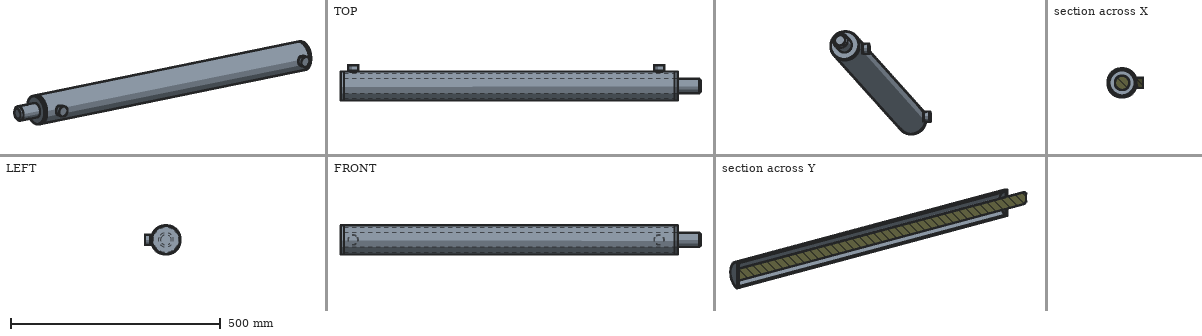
import cadquery as cq

barrel_outer_diameter = 70.0
barrel_bore_diameter = 60.0
body_length = 805.0
end_plate_thickness = 8.0
end_plate_chamfer = 1.5
rod_diameter = 35.0
rod_tip_chamfer = 5.0
overall_length = 860.0
port_diameter = 25.0
port_foot_chamfer = 1.5
port_face_offset = 50.0
port_neck_top_offset = 36.0
cap_port_position = 30.0
gland_port_position = 760.0

barrel_end = body_length - end_plate_thickness
barrel_length = barrel_end - end_plate_thickness
rod_length = overall_length - end_plate_thickness
port_neck_diameter = port_diameter - 2 * port_foot_chamfer


def axial_cylinder(diameter, start, length):
    """Solid round bar along X, beginning at X = start."""
    return cq.Workplane("YZ", origin=(start, 0, 0)).circle(diameter / 2).extrude(length)


def make_end_cap():
    """Disc closing the rear end of the barrel, chamfered around its outer face."""
    disc = axial_cylinder(barrel_outer_diameter, 0, end_plate_thickness)
    return disc.faces("<X").chamfer(end_plate_chamfer)


def make_barrel():
    """Open tube between the end cap and the gland."""
    tube = axial_cylinder(barrel_outer_diameter, end_plate_thickness, barrel_length)
    bore = axial_cylinder(barrel_bore_diameter, end_plate_thickness, barrel_length)
    return tube.cut(bore)


def make_gland():
    """Front ring that the rod passes through, chamfered around its outer face."""
    ring = axial_cylinder(barrel_outer_diameter, barrel_end, end_plate_thickness)
    ring = ring.faces(">X").chamfer(end_plate_chamfer)
    rod_hole = axial_cylinder(rod_diameter, barrel_end, end_plate_thickness)
    return ring.cut(rod_hole)


def make_rod():
    """Rod reaching from the end cap out through the gland, chamfered at its tip."""
    rod = axial_cylinder(rod_diameter, end_plate_thickness, rod_length)
    return rod.faces(">X").chamfer(rod_tip_chamfer)


def port_cylinder(position, diameter, outer_offset, inner_offset):
    """Round bar along Y between two distances from the barrel axis."""
    start = cq.Workplane("XZ", origin=(position, outer_offset, 0))
    return start.circle(diameter / 2).extrude(outer_offset - inner_offset)


def make_port(position):
    """Round boss on the +Y side tapering to a neck shaped to sit on the barrel."""
    boss = port_cylinder(position, port_diameter, port_face_offset, port_neck_top_offset)
    boss = boss.faces("<Y").chamfer(port_foot_chamfer)
    neck = port_cylinder(position, port_neck_diameter, port_neck_top_offset, 0)
    barrel_envelope = axial_cylinder(barrel_outer_diameter, 0, body_length)
    return boss.union(neck).cut(barrel_envelope)


end_cap = make_end_cap()
barrel = make_barrel()
gland = make_gland()
rod = make_rod()
ports = [make_port(position) for position in (cap_port_position, gland_port_position)]

result = cq.Compound.makeCompound(
    [end_cap.val(), barrel.val(), gland.val(), rod.val(), *[port.val() for port in ports]]
)